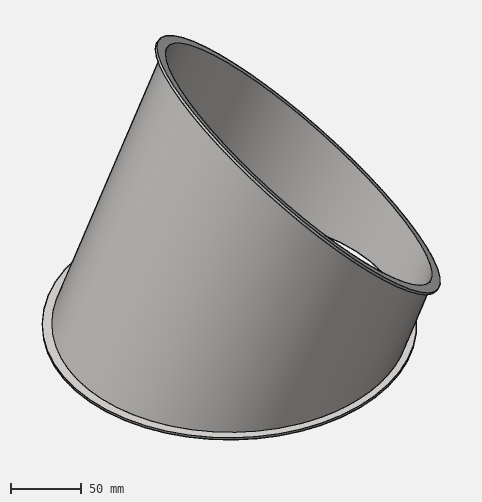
import cadquery as cq
import math


flange_diameter = 265.0
flange_thickness = 2.0
tube_outer_diameter = 253.0
tube_wall = 1.85
bend_angle = 45.0
mouth_y = 53.04
mouth_z = 128.82

tube_inner_diameter = tube_outer_diameter - 2 * tube_wall

tilt = math.radians(bend_angle)
mouth_normal = cq.Vector(0, math.sin(tilt), math.cos(tilt))
base_plane = cq.Plane(origin=(0, 0, 0), xDir=(1, 0, 0), normal=(0, 0, -1))
mouth_plane = cq.Plane(origin=(0, mouth_y, mouth_z), xDir=(1, 0, 0), normal=mouth_normal.toTuple())


def flange(end_plane):
    """Flat ring whose outer face lies in the end plane."""
    ring = cq.Workplane(end_plane).circle(flange_diameter / 2).circle(tube_inner_diameter / 2)
    return ring.extrude(-flange_thickness)


def slanted_cylinder(diameter):
    """Solid ruled between equal circles on the base and mouth planes."""
    base_circle = cq.Wire.makeCircle(diameter / 2, cq.Vector(0, 0, 0), cq.Vector(0, 0, 1))
    mouth_circle = cq.Wire.makeCircle(diameter / 2, mouth_plane.origin, mouth_normal)
    return cq.Workplane(cq.Solid.makeLoft([base_circle, mouth_circle], True))


outer_body = slanted_cylinder(tube_outer_diameter)
bore = slanted_cylinder(tube_inner_diameter)

result = outer_body.union(flange(base_plane)).union(flange(mouth_plane)).cut(bore)